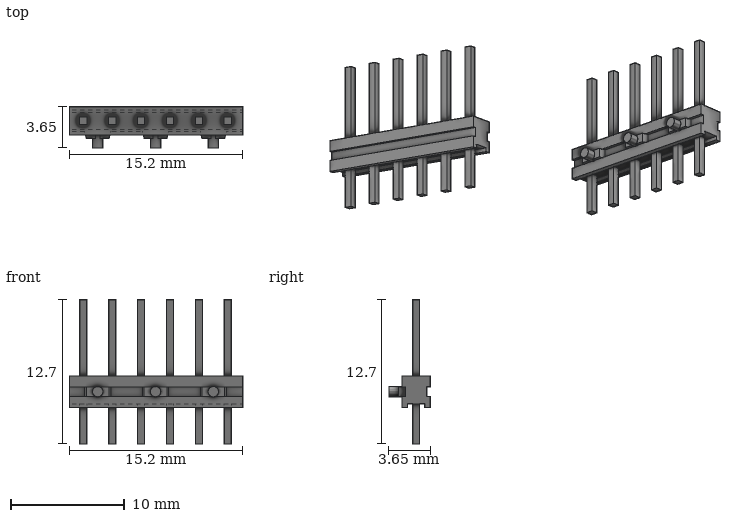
import cadquery as cq

pin_count = 6
pitch = 2.54
pin_side = 0.635
pin_length = 12.7
pin_below_body = 3.2
row_offset = -0.05

body_length = pin_count * pitch
body_width = 2.5
body_height = 2.8

groove_depth = 0.3
groove_height = 0.82
groove_below_top = 0.98
groove_middle_z = body_height - groove_below_top - groove_height / 2

channel_width = 1.5
channel_depth = 0.34

peg_count = 3
peg_pitch = 2 * pitch
peg_diameter = 0.92
peg_reach = 1.15
pad_base_length = 2.3
pad_tip_length = 2.0
pad_reach = 0.3

front_y = -body_width / 2
groove_floor_y = front_y + groove_depth


def row_positions(count, spacing):
    """X positions of equally spaced items centred on the row offset."""
    return [row_offset + (i - (count - 1) / 2) * spacing for i in range(count)]


def make_body():
    body = cq.Workplane("XY").box(body_length, body_width, body_height, centered=(True, True, False))
    channel = cq.Workplane("XY").box(body_length, channel_width, channel_depth, centered=(True, True, False))
    body = body.cut(channel)
    for side in (-1, 1):
        groove_middle_y = side * (body_width - groove_depth) / 2
        groove = cq.Workplane("XY").box(body_length, groove_depth, groove_height)
        body = body.cut(groove.translate((0, groove_middle_y, groove_middle_z)))
    return body


def make_pin(x):
    pin = cq.Workplane("XY").box(pin_side, pin_side, pin_length, centered=(True, True, False))
    return pin.translate((x, 0, -pin_below_body))


def make_pad(x):
    """Pad filling the groove height, narrowing towards its front face."""
    pad_tip_y = front_y - pad_reach
    outline = [
        (x - pad_base_length / 2, groove_floor_y),
        (x + pad_base_length / 2, groove_floor_y),
        (x + pad_tip_length / 2, pad_tip_y),
        (x - pad_tip_length / 2, pad_tip_y),
    ]
    pad_bottom_z = groove_middle_z - groove_height / 2
    return cq.Workplane("XY", origin=(0, 0, pad_bottom_z)).polyline(outline).close().extrude(groove_height)


def make_peg(x):
    """Round peg running forward from the groove floor."""
    peg_plane = cq.Workplane("XZ", origin=(x, groove_floor_y, groove_middle_z))
    return peg_plane.circle(peg_diameter / 2).extrude(groove_depth + peg_reach)


result = make_body()
for pin_x in row_positions(pin_count, pitch):
    result = result.union(make_pin(pin_x))
for peg_x in row_positions(peg_count, peg_pitch):
    result = result.union(make_pad(peg_x)).union(make_peg(peg_x))